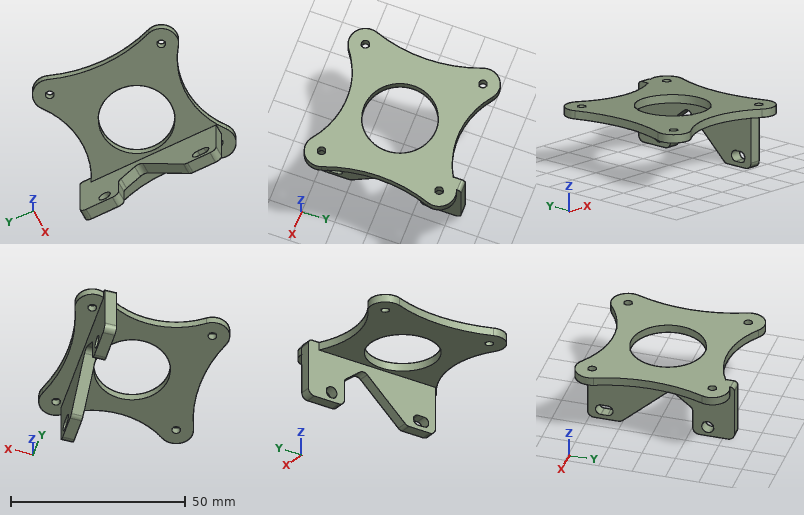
import cadquery as cq
import math

plate_thickness = 2.5
screw_spacing = 36.0
screw_diameter = 2.4
lobe_radius = 5.0
side_arc_radius = 46.0
end_arc_radius = 25.0
bore_diameter = 22.0
bore_x = 0.5
bore_y = -0.5

bracket_height = 18.0
bracket_thickness = 3.5
bracket_x = 12.5
bracket_back_y = 24.0
bracket_front_y = -20.0
foot_inner_y = 11.5
foot_inner_height = 8.5
arch_peak_y = 4.95
arch_peak_height = 13.6
slope_foot_y = -10.0
corner_radius = 2.0
top_corner_radius = 1.2

fastener_height = 3.0
round_hole_y = 16.0
round_hole_diameter = 3.6
slot_y = -15.0
slot_width = 3.2
slot_travel = 2.0

lobe_offset = screw_spacing / 2
bracket_bottom_z = -bracket_height


def concave_arc(arc_radius):
    """Tangent point and apex of an arc joining two lobes.

    Returns (along, out, apex): the tangent point's distance along the edge
    and out from the plate centre, then the arc apex's distance out.
    """
    centre_distance = lobe_radius + arc_radius
    sine = lobe_offset / centre_distance
    cosine = math.sqrt(1 - sine**2)
    along = lobe_offset - lobe_radius * sine
    out = lobe_offset + lobe_radius * cosine
    apex = lobe_offset + centre_distance * cosine - arc_radius
    return along, out, apex


def make_plate():
    """Solid four-lobed plate with concave edges between its lobes."""
    side_along, side_out, side_apex = concave_arc(side_arc_radius)
    end_along, end_out, end_apex = concave_arc(end_arc_radius)
    lobe_tip = lobe_offset + lobe_radius * math.sqrt(0.5)

    outline = (
        cq.Workplane("XY")
        .moveTo(side_out, -side_along)
        .threePointArc((side_apex, 0), (side_out, side_along))
        .threePointArc((lobe_tip, lobe_tip), (end_along, end_out))
        .threePointArc((0, end_apex), (-end_along, end_out))
        .threePointArc((-lobe_tip, lobe_tip), (-side_out, side_along))
        .threePointArc((-side_apex, 0), (-side_out, -side_along))
        .threePointArc((-lobe_tip, -lobe_tip), (-end_along, -end_out))
        .threePointArc((0, -end_apex), (end_along, -end_out))
        .threePointArc((lobe_tip, -lobe_tip), (side_out, -side_along))
        .close()
    )
    return outline.extrude(-plate_thickness)


def make_bracket():
    """Upright with a peaked arch that leaves a foot at each end."""
    foot_inner_z = bracket_bottom_z + foot_inner_height
    arch_peak_z = bracket_bottom_z + arch_peak_height
    bracket = (
        cq.Workplane("YZ", origin=(bracket_x, 0, 0))
        .moveTo(bracket_front_y, 0)
        .lineTo(bracket_front_y, bracket_bottom_z)
        .lineTo(slope_foot_y, bracket_bottom_z)
        .lineTo(arch_peak_y, arch_peak_z)
        .lineTo(foot_inner_y, foot_inner_z)
        .lineTo(foot_inner_y, bracket_bottom_z)
        .lineTo(bracket_back_y, bracket_bottom_z)
        .lineTo(bracket_back_y, 0)
        .close()
        .extrude(bracket_thickness)
    )

    rounded_corners = [
        (bracket_front_y, bracket_bottom_z, corner_radius),
        (slope_foot_y, bracket_bottom_z, corner_radius),
        (arch_peak_y, arch_peak_z, corner_radius),
        (foot_inner_y, foot_inner_z, corner_radius),
        (foot_inner_y, bracket_bottom_z, corner_radius),
        (bracket_back_y, bracket_bottom_z, corner_radius),
        (bracket_back_y, 0, top_corner_radius),
    ]
    middle_x = bracket_x + bracket_thickness / 2
    for corner_y, corner_z, radius in rounded_corners:
        corner = cq.selectors.NearestToPointSelector((middle_x, corner_y, corner_z))
        bracket = bracket.edges("|X").edges(corner).fillet(radius)
    return bracket


def plate_holes():
    """Corner screw holes and the large bore, as cutting bodies."""
    screws = (
        cq.Workplane("XY")
        .rect(screw_spacing, screw_spacing, forConstruction=True)
        .vertices()
        .circle(screw_diameter / 2)
        .extrude(-plate_thickness)
    )
    bore = (
        cq.Workplane("XY")
        .center(bore_x, bore_y)
        .circle(bore_diameter / 2)
        .extrude(-plate_thickness)
    )
    return screws.union(bore)


def bracket_holes():
    """Round hole in the back foot and slot in the front foot."""
    fastener_z = bracket_bottom_z + fastener_height
    round_hole = (
        cq.Workplane("YZ", origin=(bracket_x, round_hole_y, fastener_z))
        .circle(round_hole_diameter / 2)
        .extrude(bracket_thickness)
    )
    slot = (
        cq.Workplane("YZ", origin=(bracket_x, slot_y, fastener_z))
        .slot2D(slot_width + slot_travel, slot_width)
        .extrude(bracket_thickness)
    )
    return round_hole.union(slot)


result = make_plate().union(make_bracket()).cut(plate_holes()).cut(bracket_holes())